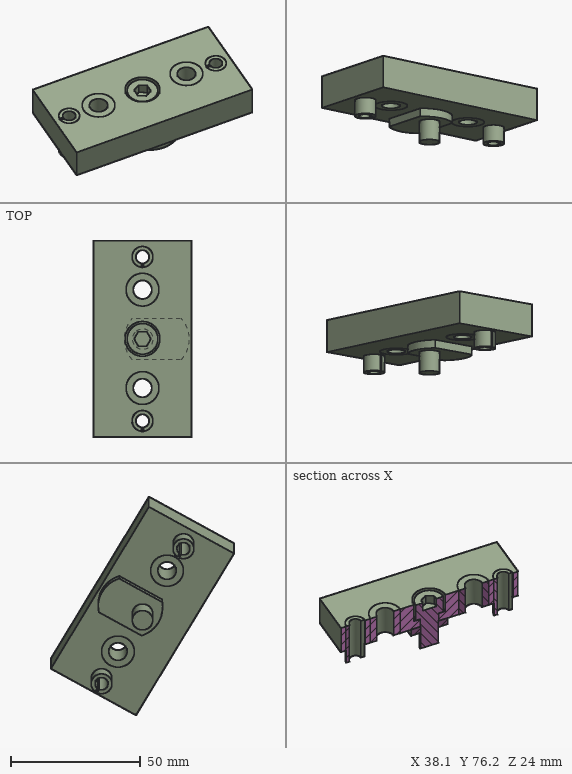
import cadquery as cq
import math

plate_width = 38.1
plate_length = 76.2
plate_height = plate_length / 6

pin_diameter = 8.1
pin_bore = 5.0
pin_slot_width = 0.8
pin_protrusion = plate_height / 2
pin_offset_y = 31.8

bushing_diameter = 12.7
bushing_bore = 7.1
bushing_offset_y = plate_length / 4

overall_height = 24.0
screw_diameter = 7.9
head_diameter = 11.9
head_height = screw_diameter
head_sink = 0.5
counterbore_diameter = 13.5
counterbore_depth = head_sink + head_height
hex_across_flats = 5.65
hex_depth = head_height / 2

bar_short_reach = 7.2
bar_long_reach = 18.0
bar_width = 15.85
bar_thickness = plate_height / 4
bar_end_radius = 12.0


def rod(diameter, z_top, z_bottom, y=0.0):
    """Upright cylinder on the plate's centreline between two heights."""
    return (
        cq.Workplane("XY", origin=(0, y, z_bottom))
        .circle(diameter / 2)
        .extrude(z_top - z_bottom)
    )


def make_plate():
    body = cq.Workplane("XY").box(
        plate_width, plate_length, plate_height, centered=(True, True, False)
    )
    body = body.translate((0, 0, -plate_height))
    body = body.cut(rod(counterbore_diameter, 0, -counterbore_depth))
    body = body.cut(rod(screw_diameter, 0, -plate_height))
    for side in (-1, 1):
        body = body.cut(rod(pin_diameter, 0, -plate_height, side * pin_offset_y))
        body = body.cut(rod(bushing_diameter, 0, -plate_height, side * bushing_offset_y))
    return body


def make_spring_pin(y):
    """Tube with a full-length slot on its -Y side."""
    z_bottom = -plate_height - pin_protrusion
    body = rod(pin_diameter, 0, z_bottom, y).cut(rod(pin_bore, 0, z_bottom, y))
    slot = cq.Workplane("XY", origin=(0, y, z_bottom)).box(
        pin_slot_width, pin_diameter, -z_bottom, centered=(True, False, False)
    )
    return body.cut(slot.translate((0, -pin_diameter, 0)))


def make_bushing(y):
    body = rod(bushing_diameter, 0, -plate_height, y)
    return body.cut(rod(bushing_bore, 0, -plate_height, y))


def make_screw():
    head = rod(head_diameter, -head_sink, -counterbore_depth)
    shank = rod(screw_diameter, -counterbore_depth, -overall_height)
    hex_across_corners = hex_across_flats / math.cos(math.pi / 6)
    socket = (
        cq.Workplane("XY", origin=(0, 0, -head_sink))
        .polygon(6, hex_across_corners)
        .extrude(-hex_depth)
    )
    return head.union(shank).cut(socket)


def make_clamp_bar():
    half_width = bar_width / 2
    end_bulge = bar_end_radius - math.sqrt(bar_end_radius**2 - half_width**2)
    x_left = -bar_short_reach + end_bulge
    x_right = bar_long_reach - end_bulge
    z_bottom = -plate_height - bar_thickness
    body = (
        cq.Workplane("XY", origin=(0, 0, z_bottom))
        .moveTo(x_left, -half_width)
        .lineTo(x_right, -half_width)
        .threePointArc((bar_long_reach, 0), (x_right, half_width))
        .lineTo(x_left, half_width)
        .threePointArc((-bar_short_reach, 0), (x_left, -half_width))
        .close()
        .extrude(bar_thickness)
    )
    return body.cut(rod(screw_diameter, -plate_height, z_bottom))


plate = make_plate()
screw = make_screw()
clamp_bar = make_clamp_bar()
spring_pins = [make_spring_pin(side * pin_offset_y) for side in (-1, 1)]
bushings = [make_bushing(side * bushing_offset_y) for side in (-1, 1)]

result = cq.Compound.makeCompound(
    [
        plate.val(),
        screw.val(),
        clamp_bar.val(),
        *[pin.val() for pin in spring_pins],
        *[bushing.val() for bushing in bushings],
    ]
)